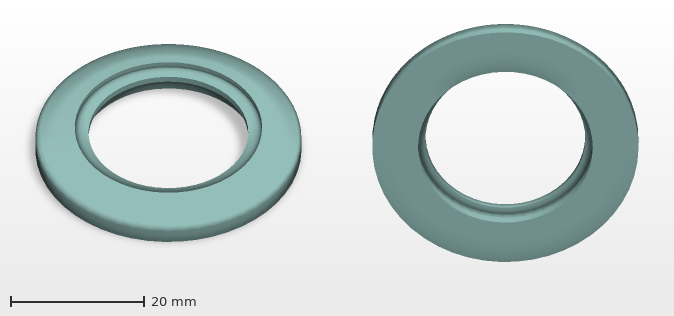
import cadquery as cq
import math

outer_radius = 20.0
bore_radius = 12.0
recess_radius = 14.1
lower_bore_radius = 13.1
height = 4.55
recess_depth = 1.05
lip_thickness = 1.0
slope_angle = 15.0
rim_fillet = 1.0
selection_margin = 0.05

rim_height = height - (outer_radius - recess_radius) * math.tan(math.radians(slope_angle))
recess_floor = height - recess_depth
lip_underside = recess_floor - lip_thickness

section = (
    cq.Workplane("XZ")
    .moveTo(lower_bore_radius, 0)
    .lineTo(outer_radius, 0)
    .lineTo(outer_radius, rim_height)
    .lineTo(recess_radius, height)
    .lineTo(recess_radius, recess_floor)
    .lineTo(bore_radius, recess_floor)
    .lineTo(bore_radius, lip_underside)
    .lineTo(lower_bore_radius, lip_underside)
    .close()
)
ring = section.revolve(360, (0, 0, 0), (0, 1, 0))

rim_edge = cq.selectors.BoxSelector(
    (-selection_margin, -selection_margin, rim_height - selection_margin),
    (selection_margin, selection_margin, rim_height + selection_margin),
)
result = ring.edges(rim_edge).fillet(rim_fillet)